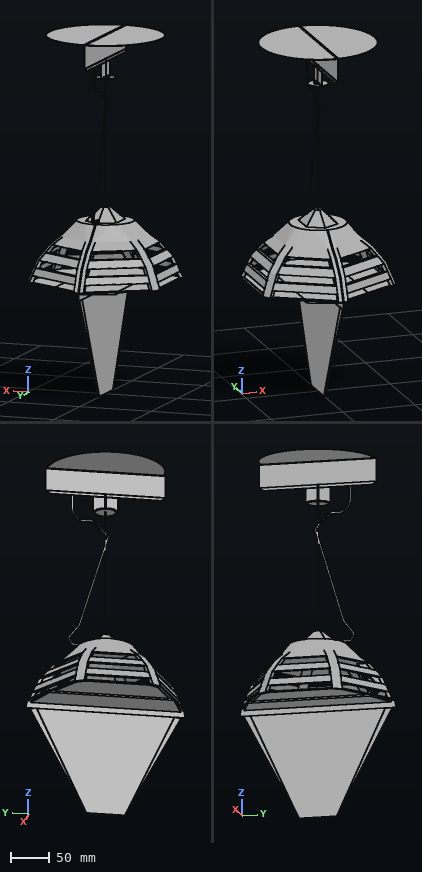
import cadquery as cq
import math

TOP_Z = 479.5
SHADE_BOTTOM_Z = 151.5

DISC_RADIUS = 78.5
DISC_THICKNESS = 1.0
SHEET_STANDOUT = 0.5
SHEET_HALF_WIDTH = 80.0
SHEET_THICKNESS = 1.0
FOOT_TOP_Z = 447.5
FOOT_BOTTOM_Z = 443.0
FOOT_THICKNESS = 2.0
FOOT_CHAMFER = 5.5
HUB_WIDTH = 33.5
HUB_BOTTOM_Z = 423.0
HUB_DISC_RADIUS = 14.5
HUB_DISC_THICKNESS = 1.5
HUB_BOSS_RADIUS = 5.8
HUB_BOSS_HEIGHT = 1.0

WIRE_THICKNESS = 2.0
CABLE_WIDTH = 3.5
CABLE_START_Y = 44.0
CABLE_BEND_START = (CABLE_START_Y, 425.5)
CABLE_BEND_END = (31.5, 408.5)
CABLE_CORNERS = [(17.7, 408.5), (-4.0, 388.5), (35.0, 262.5), (49.5, 244.0), (45.0, 235.0), (26.5, 235.0)]

SIDES = 6
HALF_SECTOR = math.pi / SIDES
RIB_HALF_WIDTH = 6.5
LEVEL_STEP = 10.0
LOFT_BOTTOM_Z = SHADE_BOTTOM_Z + 6 * LEVEL_STEP
SHADE_TOP_Z = SHADE_BOTTOM_Z + 8 * LEVEL_STEP
SHADE_PROFILE = [
    (SHADE_BOTTOM_Z, 93.0),
    (SHADE_BOTTOM_Z + 3 * LEVEL_STEP, 81.5),
    (SHADE_BOTTOM_Z + 5 * LEVEL_STEP, 66.0),
    (LOFT_BOTTOM_Z, 54.0),
]
SHADE_TOP_RADIUS = 38.5
SHADE_WALL = 5.0
SLOT_ROWS = 3
BOTTOM_RING = 1.0
FLOOR_THICKNESS = 0.5
SEAM_HEIGHT = 0.5
SEAM_DEPTH = 2.5
SEAM_THICKNESS = 1.5
GUSSET_THICKNESS = 11.5
GUSSET_TOP_Y = 54.5
GUSSET_MIDDLE_Y = 83.0
GUSSET_BOTTOM_Y = 95.5
CAP_TOP_Z = 250.0
CAP_POINT_Y = 29.3
CAP_SIDE_X = 21.5
CAP_SIDE_Y = 17.0
CAP_TOP_RATIO = 0.25

BEAM_BOTTOM_Z = 141.5
BEAM_HALF_WIDTH = 107.0
BEAM_TOP_HALF_WIDTH = 105.0
BEAM_THICKNESS = 2.5
PANEL_HALF_WIDTH = 101.5
PANEL_BOTTOM_HALF_WIDTH = 26.0
PANEL_THICKNESS = 1.5
CENTRE_HALF_WIDTH = 92.0
CENTRE_THICKNESS = 2.0
CARRIER_THICKNESS = 2.5
CARRIER_POINT_Y = 100.5
CARRIER_SIDE_X = 44.0
CARRIER_SIDE_Y = 83.5


def upright_plate(outline, thickness, x_min):
    """Plate in the YZ plane from (y, z) points, starting at x_min."""
    return cq.Workplane("YZ", origin=(x_min, 0, 0)).polyline(outline).close().extrude(thickness)


def mirrored(half):
    """Close an outline given as its +Y half, by adding the points mirrored to -Y."""
    return half + [(-y, z) for y, z in reversed(half)]


def centred_plate(half, thickness):
    """Plate centred on the YZ plane from the +Y half of its outline."""
    return upright_plate(mirrored(half), thickness, -thickness / 2)


def disc(radius, bottom_z, thickness):
    return cq.Workplane("XY", origin=(0, 0, bottom_z)).circle(radius).extrude(thickness)


def pointed_hexagon(point_y, side_x, side_y):
    """Hexagon with a corner on +Y and on -Y and flat sides facing +X and -X."""
    return [
        (0, point_y), (-side_x, side_y), (-side_x, -side_y),
        (0, -point_y), (side_x, -side_y), (side_x, side_y),
    ]


def make_cord():
    wire = (
        cq.Workplane("XY", origin=(0, 0, CAP_TOP_Z))
        .rect(WIRE_THICKNESS, WIRE_THICKNESS)
        .extrude(FOOT_TOP_Z - CAP_TOP_Z)
    )
    path = (
        cq.Workplane("YZ")
        .moveTo(CABLE_START_Y, FOOT_BOTTOM_Z)
        .lineTo(*CABLE_BEND_START)
        .tangentArcPoint(CABLE_BEND_END, relative=False)
    )
    for corner in CABLE_CORNERS:
        path = path.lineTo(*corner)
    cable = (
        cq.Workplane("XY", origin=(0, CABLE_START_Y, FOOT_BOTTOM_Z))
        .rect(WIRE_THICKNESS, CABLE_WIDTH)
        .sweep(path, transition="right")
    )
    return wire.union(cable)


def make_canopy(cord):
    ceiling_disc = disc(DISC_RADIUS, TOP_Z - SHEET_STANDOUT - DISC_THICKNESS, DISC_THICKNESS)
    sheet = upright_plate(
        mirrored([(SHEET_HALF_WIDTH, TOP_Z), (SHEET_HALF_WIDTH, FOOT_TOP_Z)]), SHEET_THICKNESS, 0
    )
    foot = centred_plate(
        [(SHEET_HALF_WIDTH, FOOT_TOP_Z), (SHEET_HALF_WIDTH - FOOT_CHAMFER, FOOT_BOTTOM_Z)], FOOT_THICKNESS
    )
    hub = centred_plate([(HUB_WIDTH / 2, FOOT_BOTTOM_Z), (HUB_WIDTH / 2, HUB_BOTTOM_Z)], SHEET_THICKNESS)
    hub_disc = disc(HUB_DISC_RADIUS, HUB_BOTTOM_Z - HUB_DISC_THICKNESS, HUB_DISC_THICKNESS)
    hub_boss = disc(HUB_BOSS_RADIUS, HUB_BOTTOM_Z, HUB_BOSS_HEIGHT)
    canopy = ceiling_disc.union(sheet).union(foot).union(hub).union(hub_disc).union(hub_boss)
    return canopy.cut(cord)


def corner_distance(flat_distance):
    """Distance from the axis to a bevelled corner of the hexagon."""
    return flat_distance / math.cos(HALF_SECTOR) - RIB_HALF_WIDTH * math.tan(HALF_SECTOR)


def section_points(flat_distance):
    """The two ends of each corner bevel, going round from the corner on +Y."""
    reach = corner_distance(flat_distance)
    points = []
    for corner in range(SIDES):
        angle = math.pi / 2 + 2 * HALF_SECTOR * corner
        for offset in (-RIB_HALF_WIDTH, RIB_HALF_WIDTH):
            x = reach * math.cos(angle) - offset * math.sin(angle)
            y = reach * math.sin(angle) + offset * math.cos(angle)
            points.append((x, y))
    return points


def hexagon_wire(flat_distance, z):
    points = [cq.Vector(x, y, z) for x, y in section_points(flat_distance)]
    return cq.Wire.makePolygon(points, close=True)


def circle_wire(radius, flat_distance, z):
    """Circle divided into arcs that face the sides of the hexagon."""
    angles = [math.atan2(y, x) for x, y in section_points(flat_distance)]
    edges = []
    for start, end in zip(angles, angles[1:] + angles[:1]):
        sweep = (end - start) % (2 * math.pi)
        arc = [
            cq.Vector(radius * math.cos(a), radius * math.sin(a), z)
            for a in (start, start + sweep / 2, start + sweep)
        ]
        edges.append(cq.Edge.makeThreePointArc(*arc))
    return cq.Wire.assembleEdges(edges)


def make_dome(inset):
    """Solid dome; a positive inset gives the space inside the wall."""
    sections = [hexagon_wire(flat - inset, z) for z, flat in SHADE_PROFILE]
    dome = cq.Workplane(cq.Solid.makeLoft(sections, True))
    loft_z, loft_flat = SHADE_PROFILE[-1]
    top = circle_wire(SHADE_TOP_RADIUS - inset, loft_flat - inset, SHADE_TOP_Z - inset)
    crown = cq.Solid.makeLoft([hexagon_wire(loft_flat - inset, loft_z), top], True)
    return dome.union(cq.Workplane(crown))


def make_slot_row(bottom_z, top_z):
    """One row of slots: a slab with the six radial ribs kept out of it."""
    span = 4 * SHADE_PROFILE[0][1]
    height = top_z - bottom_z
    plane = cq.Workplane("XY", origin=(0, 0, bottom_z))
    slab = plane.rect(span, span).extrude(height)
    for index in range(SIDES // 2):
        rib = plane.transformed(rotate=(0, 0, index * 360 / SIDES))
        slab = slab.cut(rib.rect(2 * RIB_HALF_WIDTH, 2 * span).extrude(height))
    return slab


def make_seams():
    """Thin raised seam along the middle of the ribs on +Y and -Y."""
    line = [(corner_distance(flat), z) for z, flat in SHADE_PROFILE]
    line.append((SHADE_TOP_RADIUS, SHADE_TOP_Z))
    outside = [(y + SEAM_HEIGHT, z) for y, z in line]
    inside = [(y - SEAM_DEPTH, z) for y, z in reversed(line)]
    seam = upright_plate(outside + inside, SEAM_THICKNESS, -SEAM_THICKNESS / 2)
    return seam.union(seam.mirror("XZ"))


def make_gussets():
    """Webs inside the ribs on +Y and -Y, growing deeper towards the top slots."""
    wall_middle = [
        (corner_distance(flat) - SHADE_WALL / 2, z) for z, flat in SHADE_PROFILE if z < LOFT_BOTTOM_Z
    ]
    inner_edge = [
        (GUSSET_TOP_Y, SHADE_BOTTOM_Z + 5 * LEVEL_STEP),
        (GUSSET_MIDDLE_Y, SHADE_BOTTOM_Z + 2 * LEVEL_STEP),
        (GUSSET_BOTTOM_Y, SHADE_BOTTOM_Z + LEVEL_STEP),
    ]
    gusset = upright_plate(wall_middle + inner_edge, GUSSET_THICKNESS, -GUSSET_THICKNESS / 2)
    return gusset.union(gusset.mirror("XZ"))


def make_floor():
    """Thin slice of the dome that closes its bottom."""
    span = 4 * SHADE_PROFILE[0][1]
    slab = cq.Workplane("XY", origin=(0, 0, SHADE_BOTTOM_Z)).rect(span, span).extrude(FLOOR_THICKNESS)
    return make_dome(0).intersect(slab)


def make_cap():
    top = pointed_hexagon(
        CAP_TOP_RATIO * CAP_POINT_Y, CAP_TOP_RATIO * CAP_SIDE_X, CAP_TOP_RATIO * CAP_SIDE_Y
    )
    return (
        cq.Workplane("XY", origin=(0, 0, SHADE_TOP_Z))
        .polyline(pointed_hexagon(CAP_POINT_Y, CAP_SIDE_X, CAP_SIDE_Y)).close()
        .workplane(offset=CAP_TOP_Z - SHADE_TOP_Z)
        .polyline(top).close()
        .loft(ruled=True)
    )


def make_shade(cord):
    shade = make_dome(0).cut(make_dome(SHADE_WALL))
    for row in range(SLOT_ROWS):
        bottom_z = SHADE_BOTTOM_Z + 2 * row * LEVEL_STEP
        top_z = bottom_z + LEVEL_STEP
        shade = shade.cut(make_slot_row(max(bottom_z, SHADE_BOTTOM_Z + BOTTOM_RING), top_z))
    shade = shade.union(make_floor()).union(make_gussets()).union(make_seams())
    return shade.union(make_cap()).cut(cord)


def make_diffuser():
    panel = centred_plate(
        [(PANEL_HALF_WIDTH, BEAM_BOTTOM_Z), (PANEL_BOTTOM_HALF_WIDTH, 0)], PANEL_THICKNESS
    )
    centre = centred_plate(
        [(CENTRE_HALF_WIDTH, BEAM_BOTTOM_Z), (PANEL_BOTTOM_HALF_WIDTH, 0)], CENTRE_THICKNESS
    )
    beam = centred_plate(
        [(BEAM_TOP_HALF_WIDTH, SHADE_BOTTOM_Z), (BEAM_HALF_WIDTH, BEAM_BOTTOM_Z)], BEAM_THICKNESS
    )
    carrier = (
        cq.Workplane("XY", origin=(0, 0, SHADE_BOTTOM_Z - CARRIER_THICKNESS))
        .polyline(pointed_hexagon(CARRIER_POINT_Y, CARRIER_SIDE_X, CARRIER_SIDE_Y)).close()
        .extrude(CARRIER_THICKNESS)
    )
    return panel.union(centre).union(beam).union(carrier)


cord = make_cord()
canopy = make_canopy(cord)
shade = make_shade(cord)
diffuser = make_diffuser()

result = cq.Compound.makeCompound([body.solids().val() for body in (canopy, cord, shade, diffuser)])